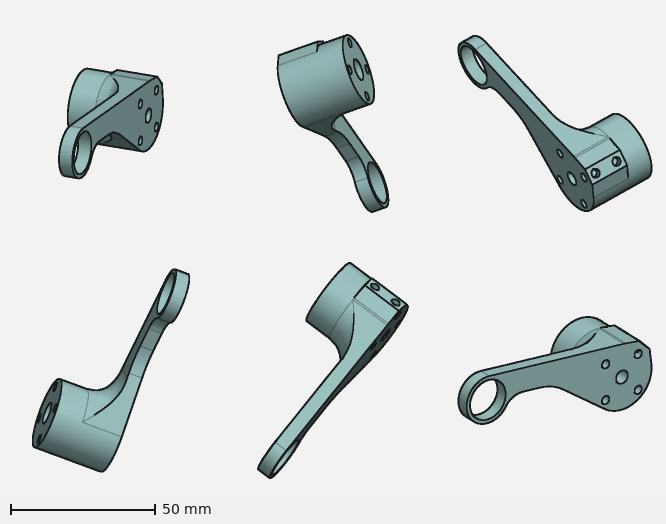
import cadquery as cq
import math

total_width = 25.0
hub_length = 10.0
hub_radius = 12.6
arm_thickness = 5.0
ring_radius = 9.0
ring_bore_radius = 7.5
ring_y = -(78.5 - hub_radius - ring_radius)
ring_z = 7.45
arm_depth = 9.2
underside_angle = 35.6
elbow_radius = 18.8
ring_fillet_radius = 7.85
center_hole_radius = 2.5
counterbore_radius = 3.85
counterbore_depth = hub_length
bolt_offset = 6.9
bolt_hole_radius = 1.6
corner_near = 7.5
corner_far = 11.8
screw_spacing = 9.0
screw_hole_radius = 1.6

arm_start = total_width - arm_thickness
flare_radius = arm_start - hub_length
thick_length = total_width - hub_length


def disk(radius, start, length, y=0, z=0):
    """Cylinder along X."""
    return cq.Workplane("YZ", origin=(start, y, z)).circle(radius).extrude(length)


def prism(points):
    """Outline in Y and Z, extruded from the end of the hub to the far face."""
    return cq.Workplane("YZ", origin=(hub_length, 0, 0)).polyline(points).close().extrude(thick_length)


def rim_point(radius, angle, y=0, z=0):
    """Point on a circle at an angle measured from +Y toward +Z."""
    return (y + radius * math.cos(angle), z + radius * math.sin(angle))


center_distance = math.hypot(ring_y, ring_z)
slope = math.atan2(ring_z, -ring_y) - math.asin((hub_radius - ring_radius) / center_distance)
upper_normal = math.pi / 2 - slope
top_hub = rim_point(hub_radius, upper_normal)
top_ring = rim_point(ring_radius, upper_normal, ring_y, ring_z)

lower_slope = math.radians(underside_angle)
bottom_hub = rim_point(hub_radius, -math.pi / 2 - lower_slope)
line_height = (hub_radius - arm_depth) / math.cos(slope)
lower_height = -hub_radius / math.cos(lower_slope)
elbow_y = -(line_height - lower_height) / (math.tan(lower_slope) - math.tan(slope))
elbow = (elbow_y, line_height - elbow_y * math.tan(slope))
slender_end = (ring_y, line_height - ring_y * math.tan(slope))


def arm_profile():
    arm = prism([(0, 0), top_hub, top_ring, (ring_y, ring_z), slender_end, elbow, bottom_hub])
    arm = arm.union(disk(hub_radius, hub_length, thick_length))
    arm = arm.union(disk(ring_radius, hub_length, thick_length, ring_y, ring_z))
    elbow_edge = cq.selectors.NearestToPointSelector((hub_length + thick_length / 2, *elbow))
    arm = arm.edges("|X").edges(elbow_edge).fillet(elbow_radius)
    drop = (ring_z - slender_end[1]) * math.cos(slope)
    to_hub = math.sqrt(ring_radius**2 - drop**2) - (ring_z - slender_end[1]) * math.sin(slope)
    junction = (ring_y + to_hub * math.cos(slope), slender_end[1] - to_hub * math.sin(slope))
    ring_edge = cq.selectors.NearestToPointSelector((hub_length + thick_length / 2, *junction))
    return arm.edges("|X").edges(ring_edge).fillet(ring_fillet_radius)


def flare_envelope():
    """Concave quarter round about the hub axis, then a disk wide enough for the whole arm."""
    flare_end = hub_radius + flare_radius
    envelope_radius = center_distance + 2 * ring_radius
    bend = flare_radius * math.sqrt(0.5)
    return (
        cq.Workplane("XY")
        .moveTo(hub_length, 0)
        .lineTo(hub_length, hub_radius)
        .threePointArc((hub_length + bend, flare_end - bend), (arm_start, flare_end))
        .lineTo(arm_start, envelope_radius)
        .lineTo(total_width, envelope_radius)
        .lineTo(total_width, 0)
        .close()
        .revolve(360, (0, 0, 0), (1, 0, 0))
    )


def corner_block():
    """Flat-cornered block whose outer faces are tangent to the hub."""
    corner_distance = math.hypot(corner_near, corner_far)
    touch_angle = math.atan2(corner_near, corner_far) - math.acos(hub_radius / corner_distance)
    side_y, side_z = rim_point(hub_radius, touch_angle)
    side = [(side_y, side_z), (corner_far, corner_near)]
    top = [(z, y) for y, z in reversed(side)]
    return prism([(0, 0), *side, *top])


def screw_holes():
    """Two holes square to the corner flat, ending at the axis of the bolt hole behind it."""
    middle_x = hub_length + thick_length / 2
    depth = (corner_near + corner_far) / math.sqrt(2) - bolt_offset * math.sqrt(2)
    flat_center = (corner_near + corner_far) / 2
    plane = cq.Plane(origin=(middle_x, flat_center, flat_center), xDir=(1, 0, 0), normal=(0, 1, 1))
    spots = [(-screw_spacing / 2, 0), (screw_spacing / 2, 0)]
    return cq.Workplane(plane).pushPoints(spots).circle(screw_hole_radius).extrude(-depth)


body = arm_profile().intersect(flare_envelope())
body = body.union(corner_block()).union(disk(hub_radius, 0, hub_length))

body = body.cut(disk(ring_bore_radius, 0, total_width, ring_y, ring_z))
body = body.cut(disk(center_hole_radius, 0, total_width))
body = body.cut(disk(counterbore_radius, 0, counterbore_depth))
for bolt_y in (-bolt_offset, bolt_offset):
    for bolt_z in (-bolt_offset, bolt_offset):
        body = body.cut(disk(bolt_hole_radius, 0, total_width, bolt_y, bolt_z))

result = body.cut(screw_holes())